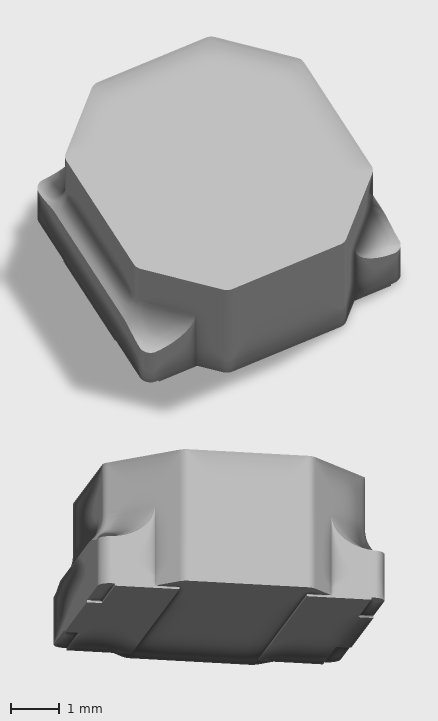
import cadquery as cq

height = 2.85
pad_thickness = 0.05

body_length = 6
body_width = 5.495
diagonal_reach = 4.35
body_corner_radius = 0.25

foot_length = 5.005
foot_width = 6
foot_corner_radius = 0.25
ledge_height = 1.05
cove_radius = 0.7

pad_inner_y = 1.33
notch_inner_x = 1.15
notch_depth = 0.32


def make_body():
    """Rounded octagonal prism, clear of the ground by the pad thickness."""
    half_length = body_length / 2
    half_width = body_width / 2
    side_y = diagonal_reach - half_length
    end_x = diagonal_reach - half_width
    outline = [
        (half_length, -side_y),
        (half_length, side_y),
        (end_x, half_width),
        (-end_x, half_width),
        (-half_length, side_y),
        (-half_length, -side_y),
        (-end_x, -half_width),
        (end_x, -half_width),
    ]
    return (
        cq.Workplane("XY", origin=(0, 0, pad_thickness))
        .polyline(outline)
        .close()
        .extrude(height - pad_thickness)
        .edges("|Z")
        .fillet(body_corner_radius)
    )


def make_foot_block(bottom, top):
    """Rounded rectangular block with the footprint of the foot."""
    return (
        cq.Workplane("XY", origin=(0, 0, bottom))
        .rect(foot_length, foot_width)
        .extrude(top - bottom)
        .edges("|Z")
        .fillet(foot_corner_radius)
    )


def make_foot(body):
    """Foot whose upper surface is a cove following the body walls."""
    plate_side = 3 * body_length
    plate = (
        cq.Workplane("XY", origin=(0, 0, pad_thickness))
        .rect(plate_side, plate_side)
        .extrude(ledge_height - pad_thickness)
    )
    reach = body_length
    tolerance = 0.06
    junction = cq.selectors.BoxSelector(
        (-reach, -reach, ledge_height - tolerance),
        (reach, reach, ledge_height + tolerance),
    )
    coved = plate.union(body).edges("#Z").edges(junction).fillet(cove_radius)
    return coved.intersect(make_foot_block(pad_thickness, height))


def make_pads():
    """Two pads, each notched at its outer corners."""
    pads = make_foot_block(0, pad_thickness)
    gap = cq.Workplane("XY").rect(foot_length, 2 * pad_inner_y).extrude(pad_thickness)
    pads = pads.cut(gap)
    notch_length = foot_length / 2 - notch_inner_x
    notch_x = foot_length / 2 - notch_length / 2
    notch_y = foot_width / 2 - notch_depth / 2
    notches = (
        cq.Workplane("XY")
        .rect(2 * notch_x, 2 * notch_y, forConstruction=True)
        .vertices()
        .rect(notch_length, notch_depth)
        .extrude(pad_thickness)
    )
    return pads.cut(notches)


body = make_body()
result = body.union(make_foot(body)).union(make_pads())